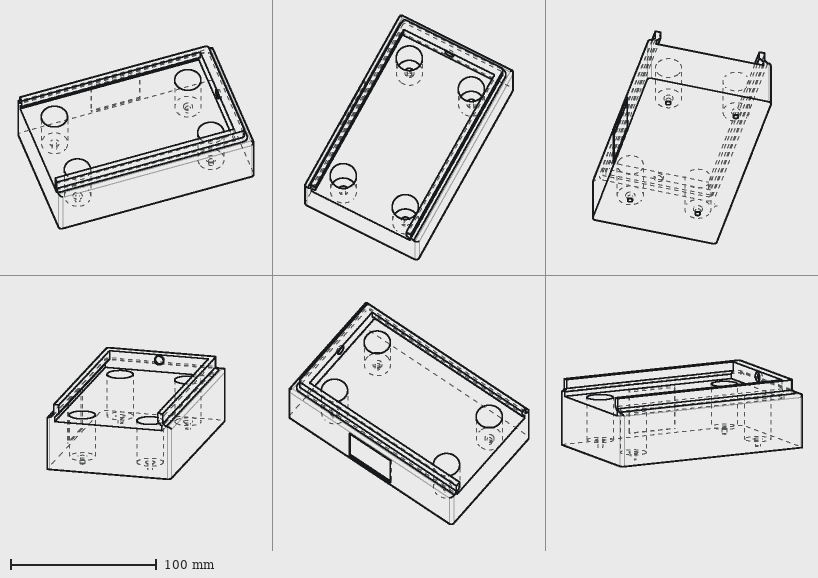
import cadquery as cq

width = 88.5
length = 142.0
height = 47.0
shoulder_z = 37.8
corner_radius = 2.3
shoulder_fillet = 2.3

rim_inset = 5.3
rim_corner_radius = 2.0
rim_chamfer = 2.1
side_opening_inset = 9.0
back_opening_inset = 12.0

floor_z = 34.8
undercut = 3.0
undercut_bottom_z = 37.9

well_diameter = 18.0
well_floor_z = 5.0
well_x = 24.1
well_back_y = 46.0
well_front_y = -51.0
screw_diameter = 3.4
screw_head_diameter = 6.4

latch_diameter = 6.2
latch_z = 42.9
latch_depth = 2.0

label_width = 35.5
label_bottom_z = 3.0
label_top_z = 33.0
label_depth = 1.0

half_width = width / 2
front_y = -length / 2
back_y = length / 2


def make_block():
    block = cq.Workplane("XY").box(width, length, shoulder_z, centered=(True, True, False))
    block = block.edges("|Z").fillet(corner_radius)

    envelope = (
        cq.Workplane("XY", origin=(0, -length / 2, 0))
        .box(width, 2 * length, shoulder_z, centered=(True, True, False))
        .faces(">Z")
        .edges("not <Y")
        .fillet(shoulder_fillet)
    )
    return block.intersect(envelope)


def rim_footprint(grow, bottom_z, rim_height):
    """Rim outline, enlarged by grow at the sides and back."""
    inset = rim_inset - grow
    rim_length = length - inset
    return (
        cq.Workplane("XY", origin=(0, front_y + rim_length / 2, bottom_z))
        .rect(width - 2 * inset, rim_length)
        .extrude(rim_height)
        .edges("|Z and >Y")
        .fillet(rim_corner_radius + grow)
    )


def make_rim():
    rim = rim_footprint(0, shoulder_z, height - shoulder_z)
    flare = rim_footprint(rim_chamfer, shoulder_z - rim_chamfer, 2 * rim_chamfer)
    flare = flare.faces(">Z").edges("not <Y").chamfer(rim_chamfer)
    return rim.union(flare)


def make_lid_recess():
    opening_x = half_width - side_opening_inset
    undercut_x = opening_x + undercut
    undercut_top_z = undercut_bottom_z + undercut
    return (
        cq.Workplane("XZ", origin=(0, front_y, 0))
        .polyline([
            (-undercut_x, floor_z),
            (undercut_x, floor_z),
            (undercut_x, undercut_bottom_z),
            (opening_x, undercut_top_z),
            (opening_x, height),
            (-opening_x, height),
            (-opening_x, undercut_top_z),
            (-undercut_x, undercut_bottom_z),
        ])
        .close()
        .extrude(-(length - back_opening_inset))
    )


def make_wells():
    head_radius = screw_head_diameter / 2
    screw_radius = screw_diameter / 2
    countersink_z = well_floor_z - (head_radius - screw_radius)
    profile = (
        cq.Workplane("XZ")
        .polyline([
            (0, 0),
            (screw_radius, 0),
            (screw_radius, countersink_z),
            (head_radius, well_floor_z),
            (well_diameter / 2, well_floor_z),
            (well_diameter / 2, floor_z),
            (0, floor_z),
        ])
        .close()
    )
    well = profile.revolve(360, (0, 0, 0), (0, 1, 0))
    wells = cq.Workplane("XY")
    for x in (-well_x, well_x):
        for y in (well_front_y, well_back_y):
            wells = wells.add(well.translate((x, y, 0)))
    return wells.combine()


def make_latch_socket():
    socket_y = back_y - back_opening_inset
    return (
        cq.Workplane("XZ", origin=(0, socket_y, latch_z))
        .circle(latch_diameter / 2)
        .extrude(-latch_depth)
    )


def make_label_recess():
    """Recess whose upper wall slopes in at 45 degrees."""
    return (
        cq.Workplane("XZ", origin=(-half_width, label_width / 2, 0))
        .polyline([
            (0, label_bottom_z),
            (label_depth, label_bottom_z),
            (label_depth, label_top_z - label_depth),
            (0, label_top_z),
        ])
        .close()
        .extrude(label_width)
    )


result = make_block().union(make_rim())
for cutter in (make_lid_recess(), make_wells(), make_latch_socket(), make_label_recess()):
    result = result.cut(cutter)